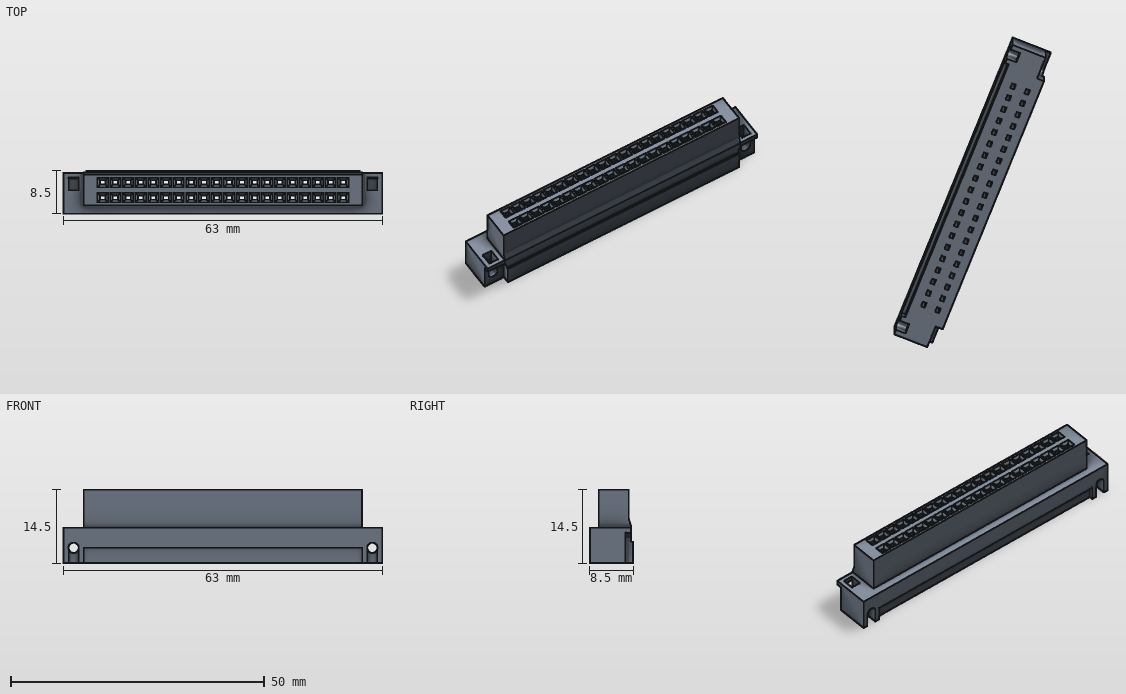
import cadquery as cq

body_length = 63.0
body_depth = 8.1
body_height = 7.0

tower_length = 55.0
tower_front = 1.7
tower_depth = 6.0
total_height = 14.5
tower_back = tower_front + tower_depth
slope_height = 1.7
slope_back = 8.2

plate_length = 54.0
plate_back = 8.5
plate_height = 4.25

relief_depth = 0.75
relief_height = 3.0

mount_spacing = 59.0
mount_height = 3.0
mount_diameter = 2.0
slot_depth = 2.0
pocket_width = 2.0
pocket_front = 4.7
pocket_back = 7.2
end_notch_front = 7.0
end_notch_height = 6.0
end_notch_radius = 1.5

column_count = 20
column_pitch = 2.5
row_count = 2
row_pitch = 3.0
mouth_width = 2.1
mouth_depth = 1.9
mouth_taper = 0.55
lead_in_taper = 45.0
lead_in_depth = mouth_taper
contact_width = mouth_width - 2 * mouth_taper
contact_depth = mouth_depth - 2 * mouth_taper


def block(length, y_front, y_back, z_low, z_high, x_center=0.0):
    """Box centred on x_center, placed by its Y and Z limits."""
    depth = y_back - y_front
    height = z_high - z_low
    box = cq.Workplane("XY").box(length, depth, height, centered=(True, False, False))
    return box.translate((x_center, y_front, z_low))


def make_housing():
    """Base body, tower with sloped back foot, and back plate."""
    body = block(body_length, 0, body_depth, 0, body_height)
    tower = (
        cq.Workplane("YZ")
        .moveTo(tower_front, 0)
        .lineTo(tower_front, total_height)
        .lineTo(tower_back, total_height)
        .lineTo(tower_back, body_height + slope_height)
        .lineTo(slope_back, body_height)
        .lineTo(body_depth, plate_height)
        .lineTo(body_depth, 0)
        .close()
        .extrude(tower_length / 2, both=True)
    )
    plate = block(plate_length, tower_front, plate_back, 0, plate_height)
    return body.union(tower).union(plate)


def make_front_relief():
    """Shallow recess along the lower front, as long as the tower."""
    return block(tower_length, 0, relief_depth, 0, relief_height)


def make_end_notch():
    """Notch behind the +X mounting hole, with a rounded upper inner corner."""
    inner_x = plate_length / 2
    end_x = body_length / 2
    return (
        cq.Workplane("XZ", origin=(0, plate_back, 0))
        .moveTo(inner_x, 0)
        .lineTo(end_x, 0)
        .lineTo(end_x, end_notch_height)
        .lineTo(inner_x + end_notch_radius, end_notch_height)
        .radiusArc((inner_x, end_notch_height - end_notch_radius), -end_notch_radius)
        .close()
        .extrude(plate_back - end_notch_front)
    )


def make_mount_cut():
    """Hole, open-bottomed front slot, top pocket and back notch at the +X end."""
    hole_x = mount_spacing / 2
    hole = (
        cq.Workplane("XZ")
        .center(hole_x, mount_height)
        .circle(mount_diameter / 2)
        .extrude(-plate_back)
    )
    slot = block(mount_diameter, 0, slot_depth, 0, mount_height, hole_x)
    pocket = block(pocket_width, pocket_front, pocket_back, mount_height, body_height, hole_x)
    return hole.union(slot).union(pocket).union(make_end_notch())


def make_contact_cuts():
    """Grid of through holes, each with a tapered lead-in at the tower top."""
    row_center = tower_front + tower_depth / 2
    centers = (
        cq.Workplane("XY", origin=(0, row_center, total_height))
        .rarray(column_pitch, row_pitch, column_count, row_count)
    )
    holes = centers.rect(contact_width, contact_depth).extrude(-total_height)
    lead_ins = centers.rect(mouth_width, mouth_depth).extrude(-lead_in_depth, taper=lead_in_taper)
    return holes.union(lead_ins)


mount_cut = make_mount_cut()

result = (
    make_housing()
    .cut(make_front_relief())
    .cut(mount_cut)
    .cut(mount_cut.mirror("YZ"))
    .cut(make_contact_cuts())
)